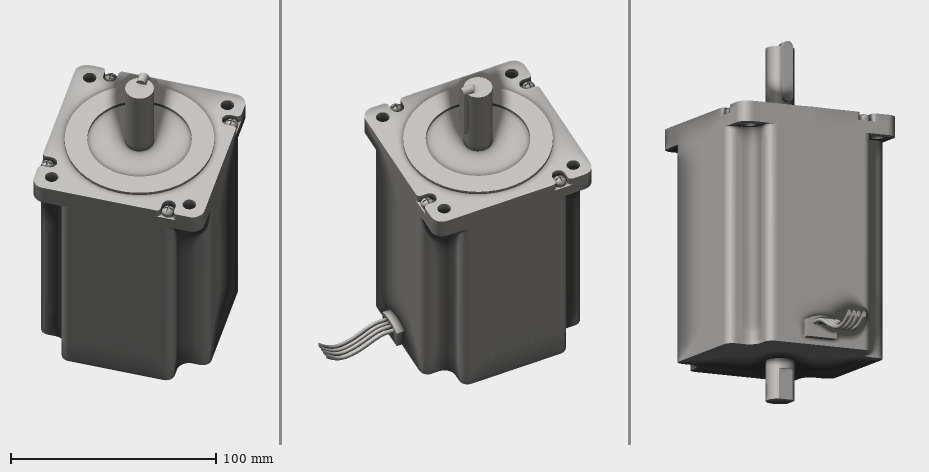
import cadquery as cq
import math

FRAME = 86.0
BODY_LENGTH = 118.0
TOTAL_LENGTH = 177.5
TOTAL_DEPTH = 126.2
HALF = FRAME / 2

FRONT_CAP_LENGTH = 15.0
REAR_CAP_LENGTH = 15.0
FLANGE_THICKNESS = 10.1
FLANGE_CORNER_RADIUS = 6.0
SEAM_Z = BODY_LENGTH - FRONT_CAP_LENGTH
FLANGE_Z = BODY_LENGTH - FLANGE_THICKNESS

NOTCH_DEPTH = 14.5
NOTCH_LIP_RADIUS = 4.5
NOTCH_ROOT_RADIUS = 6.0

HOLE_DIAMETER = 6.5
HOLE_SPACING = 69.5
BOSS_DIAMETER = 73.0
BOSS_HEIGHT = 1.6
BOSS_RECESS_DIAMETER = 51.0
BOSS_RECESS_DEPTH = 1.6

SCREW_OFFSET = 25.4
SCREW_INSET = 3.5
POCKET_ARC_INSET = 5.0
POCKET_WIDTH = 6.7
POCKET_DEPTH = 4.0
POCKET_MOUTH_RADIUS = 2.0
HEAD_DIAMETER = 6.0
HEAD_RIM_HEIGHT = 2.0
HEAD_DOME_HEIGHT = 2.0
CROSS_LENGTH = 4.6
CROSS_WIDTH = 0.9
CROSS_DEPTH = 1.8

SHAFT_DIAMETER = 14.0
REAR_SHAFT_LENGTH = 20.0
KEY_OVERHANG = 2.3
KEY_LENGTH = 30.2
KEY_WIDTH = 5.1
KEY_HEIGHT = 5.7
KEY_TOP = 8.7
FLAT_DEPTH = 1.0
FLAT_START = 5.0
KEY_END_Z = TOTAL_LENGTH - REAR_SHAFT_LENGTH
FRONT_SHAFT_END_Z = KEY_END_Z - KEY_OVERHANG

OUTLET_CENTER_X = 1.2
OUTLET_WIDTH = 16.3
OUTLET_THICKNESS = 4.0
OUTLET_BOTTOM_Z = 3.2
OUTLET_SIDE_Z = 11.9
OUTLET_CROWN_Z = 13.8
OUTLET_FACE_Y = HALF + OUTLET_THICKNESS
WIRE_DIAMETER = 2.1
WIRE_POSITIONS_X = (-3.0, 0.0, 2.5, 5.1)
WIRE_OVERRUN = 2.7
WIRE_END_Y = TOTAL_DEPTH - HALF
WIRE_COURSE = ((0, 10.5), (5.1, 10.5), (14.0, 7.0), (20.2, 4.5), (26.6, 3.5), (32.0, 5.3), (36.0, 8.5))


def box(x_range, y_range, z_range):
    """Rectangular block spanning three coordinate ranges."""
    (x0, x1), (y0, y1), (z0, z1) = x_range, y_range, z_range
    return cq.Workplane("XY").box(x1 - x0, y1 - y0, z1 - z0, centered=False).translate((x0, y0, z0))


def fillet_long_edges(block, reach, radius):
    """Round the edges along Z whose larger distance from the axis, in X or Y, equals reach."""
    chosen = [
        edge for edge in block.edges("|Z").vals()
        if math.isclose(max(abs(edge.Center().x), abs(edge.Center().y)), reach, abs_tol=1.77e-06)
    ]
    return block.newObject(chosen).fillet(radius)


def notched_block(z_start, length):
    """Square block with a rounded notch along each of its four corners."""
    block = cq.Workplane("XY").rect(FRAME, FRAME).extrude(length)
    notch_center = HALF - NOTCH_DEPTH / 2
    notches = (
        cq.Workplane("XY")
        .rect(2 * notch_center, 2 * notch_center, forConstruction=True)
        .vertices()
        .rect(NOTCH_DEPTH, NOTCH_DEPTH)
        .extrude(length)
    )
    block = block.cut(notches)
    block = fillet_long_edges(block, HALF - NOTCH_DEPTH, NOTCH_ROOT_RADIUS)
    block = fillet_long_edges(block, HALF, NOTCH_LIP_RADIUS)
    return block.translate((0, 0, z_start))


def flange():
    plate = cq.Workplane("XY").workplane(offset=FLANGE_Z).rect(FRAME, FRAME).extrude(FLANGE_THICKNESS)
    plate = plate.edges("|Z").fillet(FLANGE_CORNER_RADIUS)
    return (
        plate.faces(">Z").workplane()
        .rect(HOLE_SPACING, HOLE_SPACING, forConstruction=True)
        .vertices()
        .hole(HOLE_DIAMETER)
    )


def boss():
    top = BODY_LENGTH + BOSS_HEIGHT
    disc = cq.Workplane("XY").workplane(offset=SEAM_Z).circle(BOSS_DIAMETER / 2).extrude(top - SEAM_Z)
    recess = (
        cq.Workplane("XY").workplane(offset=top - BOSS_RECESS_DEPTH)
        .circle(BOSS_RECESS_DIAMETER / 2).extrude(BOSS_RECESS_DEPTH)
    )
    return disc, recess


def screw_pocket():
    """Round-ended pocket open through the -Y frame side, with a rounded mouth."""
    half_width = POCKET_WIDTH / 2
    half_mouth = half_width + POCKET_MOUTH_RADIUS
    lip = POCKET_MOUTH_RADIUS * (1 - math.sqrt(0.5))
    arc_y = -HALF + POCKET_ARC_INSET
    mouth_y = -HALF + POCKET_MOUTH_RADIUS
    return (
        cq.Workplane("XY").workplane(offset=BODY_LENGTH - POCKET_DEPTH)
        .moveTo(-half_mouth, -HALF)
        .threePointArc((-half_width - lip, -HALF + lip), (-half_width, mouth_y))
        .lineTo(-half_width, arc_y)
        .threePointArc((0, arc_y + half_width), (half_width, arc_y))
        .lineTo(half_width, mouth_y)
        .threePointArc((half_width + lip, -HALF + lip), (half_mouth, -HALF))
        .close()
        .extrude(POCKET_DEPTH)
        .translate((SCREW_OFFSET, 0, 0))
    )


def screw_head():
    """Domed screw head with a cross recess, standing on the pocket floor."""
    radius = HEAD_DIAMETER / 2
    apex = HEAD_RIM_HEIGHT + HEAD_DOME_HEIGHT
    dome_radius = (radius ** 2 + HEAD_DOME_HEIGHT ** 2) / (2 * HEAD_DOME_HEIGHT)
    dome_center = apex - dome_radius
    mid_height = dome_center + math.sqrt(dome_radius ** 2 - (radius / 2) ** 2)
    head = (
        cq.Workplane("XZ")
        .lineTo(radius, 0)
        .lineTo(radius, HEAD_RIM_HEIGHT)
        .threePointArc((radius / 2, mid_height), (0, apex))
        .close()
        .revolve(360, (0, 0, 0), (0, 1, 0))
    )
    cross_floor = cq.Workplane("XY").workplane(offset=apex - CROSS_DEPTH)
    for size_x, size_y in ((CROSS_LENGTH, CROSS_WIDTH), (CROSS_WIDTH, CROSS_LENGTH)):
        head = head.cut(cross_floor.rect(size_x, size_y).extrude(CROSS_DEPTH))
    return head.translate((SCREW_OFFSET, -HALF + SCREW_INSET, BODY_LENGTH - POCKET_DEPTH))


def front_shaft():
    shaft = (
        cq.Workplane("XY").workplane(offset=SEAM_Z)
        .circle(SHAFT_DIAMETER / 2).extrude(FRONT_SHAFT_END_Z - SEAM_Z)
    )
    key = (
        cq.Workplane("XZ", origin=(0, KEY_TOP, KEY_END_Z - KEY_LENGTH / 2))
        .slot2D(KEY_LENGTH, KEY_WIDTH, 90)
        .extrude(KEY_HEIGHT)
    )
    return shaft.union(key)


def make_front_cap():
    cap = notched_block(SEAM_Z, FRONT_CAP_LENGTH - FLANGE_THICKNESS).union(flange())
    disc, recess = boss()
    cap = cap.union(disc).cut(recess)
    pocket = screw_pocket()
    head = screw_head()
    for angle in (0, 90, 180, 270):
        cap = cap.cut(pocket.rotate((0, 0, 0), (0, 0, 1), angle))
        cap = cap.union(head.rotate((0, 0, 0), (0, 0, 1), angle))
    return cap.union(front_shaft())


def make_stator():
    return notched_block(REAR_CAP_LENGTH, SEAM_Z - REAR_CAP_LENGTH)


def rear_shaft():
    """Rear shaft with flats facing -X and +Y."""
    radius = SHAFT_DIAMETER / 2
    shaft = cq.Workplane("XY").circle(radius).extrude(-REAR_SHAFT_LENGTH)
    flat_z = (-REAR_SHAFT_LENGTH, -FLAT_START)
    full_width = (-radius, radius)
    shaft = shaft.cut(box((-radius, -radius + FLAT_DEPTH), full_width, flat_z))
    return shaft.cut(box(full_width, (radius - FLAT_DEPTH, radius), flat_z))


def wire_outlet():
    half_width = OUTLET_WIDTH / 2
    return (
        cq.Workplane("XZ", origin=(OUTLET_CENTER_X, OUTLET_FACE_Y, 0))
        .moveTo(-half_width, OUTLET_BOTTOM_Z)
        .lineTo(half_width, OUTLET_BOTTOM_Z)
        .lineTo(half_width, OUTLET_SIDE_Z)
        .threePointArc((0, OUTLET_CROWN_Z), (-half_width, OUTLET_SIDE_Z))
        .close()
        .extrude(OUTLET_THICKNESS)
    )


def wire(x):
    """Round wire along the S-shaped course, cut square at its free end."""
    (last_y, last_z) = WIRE_COURSE[-1]
    overrun_end = (last_y + WIRE_OVERRUN, last_z + WIRE_OVERRUN)
    course = (
        cq.Workplane("YZ", origin=(x, OUTLET_FACE_Y, 0))
        .spline([*WIRE_COURSE, overrun_end], tangents=[(1, 0), (1, 1)])
    )
    start_z = WIRE_COURSE[0][1]
    strand = (
        cq.Workplane("XZ", origin=(x, OUTLET_FACE_Y, start_z))
        .circle(WIRE_DIAMETER / 2)
        .sweep(course)
    )
    beyond = 2 * (WIRE_OVERRUN + WIRE_DIAMETER)
    trim = box(
        (x - WIRE_DIAMETER, x + WIRE_DIAMETER),
        (WIRE_END_Y, WIRE_END_Y + beyond),
        (last_z - beyond, last_z + beyond),
    )
    return strand.cut(trim)


def make_rear_cap():
    cap = notched_block(0, REAR_CAP_LENGTH).union(rear_shaft()).union(wire_outlet())
    for x in WIRE_POSITIONS_X:
        cap = cap.union(wire(x))
    return cap


front_cap = make_front_cap()
stator = make_stator()
rear_cap = make_rear_cap()

result = cq.Compound.makeCompound([front_cap.val(), stator.val(), rear_cap.val()])